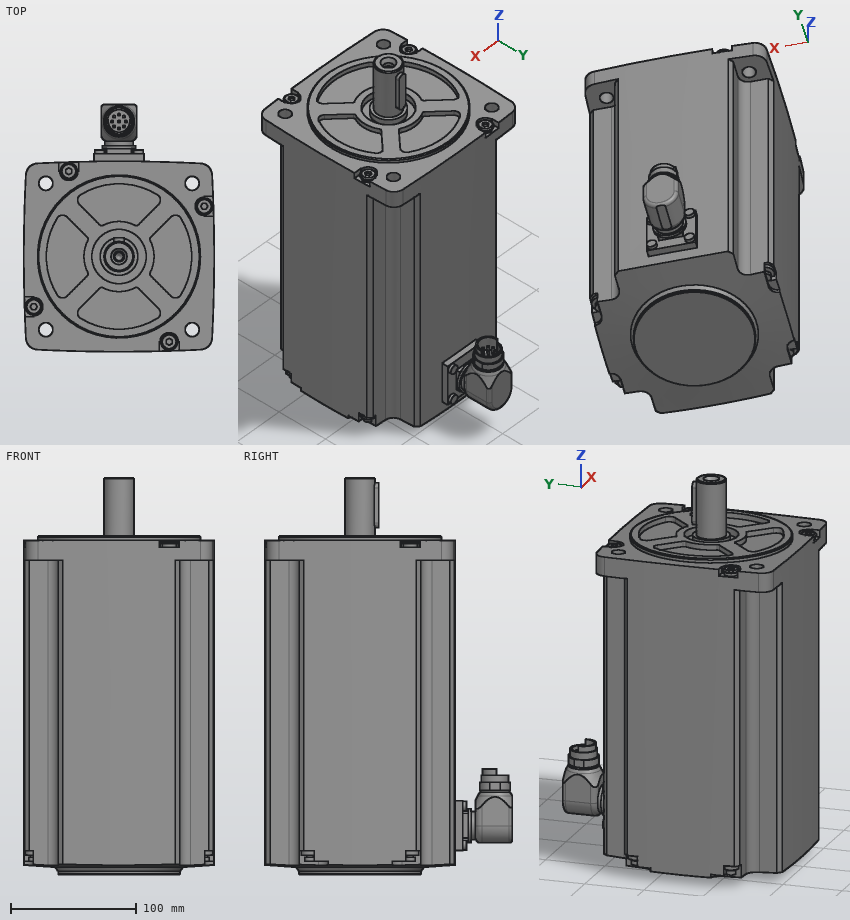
import cadquery as cq
import math

HALF_WIDTH = 76.0
REAR_Z = -266.5
SHAFT_TOP = 50.0

FLANGE_THICKNESS = 16.0
SIDE_RADIUS = 1300.0
CORNER_RADIUS = 10.0
BOLT_CIRCLE = 165.0
BOLT_HOLE_DIA = 11.0
NOTCH_WALL = 48.5
NOTCH_LIP = 71.7
NOTCH_FILLET = 8.5

PILOT_RADIUS = 65.0
PILOT_HEIGHT = 3.5
PILOT_CHAMFER = 1.0
POCKET_OUTER_RADIUS = 58.0
POCKET_INNER_RADIUS = 28.0
RIB_HALF_WIDTH = 7.0
POCKET_DEPTH = 4.5
POCKET_OUTER_FILLET = 5.0
POCKET_INNER_FILLET = 2.0
SEAL_RADIUS = 21.7
SEAL_DEPTH = 6.0

SHAFT_RADIUS = 12.0
SHAFT_CHAMFER = 1.0
SHOULDER_RADIUS = 15.0
SHOULDER_TOP = 3.0
KEY_WIDTH = 8.0
KEY_BOTTOM = 10.0
KEY_LENGTH = 36.0
KEY_CREST = 15.0
CENTRE_MOUTH_DIA = 12.8
CENTRE_MOUTH_HALF_ANGLE = 30.0
CENTRE_BORE_DIA = 8.4
CENTRE_BORE_DEPTH = 7.0
TAP_DIA = 6.65
TAP_DEPTH = 22.0

SCREW_RADIAL = 68.0
SCREW_OFFSET = 40.0
SCREW_POCKET_WIDTH = 16.0
SCREW_POCKET_RADIUS = 7.3
SCREW_POCKET_DEPTH = 5.5
SCREW_HEAD_RADIUS = 6.7
SCREW_HEAD_THICKNESS = 2.0
SCREW_SEAT_RADIUS = 5.5
SCREW_HEAD_GAP = 0.7
SCREW_HEAD_CHAMFER = 1.2
SCREW_HEX_DIA = 5.5
SCREW_HEX_DEPTH = 2.0

REAR_EDGE_Z = -259.0
REAR_SLOPE = 0.07
COVER_NECK_RADIUS = 51.0
COVER_RADIUS = 48.7
COVER_THICKNESS = 2.5
COVER_CHAMFER = 0.5

REAR_POCKET_TOP = -247.6
REAR_POCKET_BOTTOM = -256.0
REAR_POCKET_FLOOR = 68.3
REAR_POCKET_SIDE = 36.4
REAR_SCREW_GAP = 1.5
REAR_SHANK_RADIUS = 4.0
REAR_GROOVE_RADIUS = 2.6
RELIEF_END = 25.5

CONNECTOR_Z = -227.5
BASE_SIZE = 40.0
BASE_Y = 82.0
BASE_ROOT_OVERLAP = 1.0
BASE_SCREW_PITCH = 31.0
BASE_SCREW_DIA = 8.0
BASE_SCREW_HEIGHT = 3.0
BLOCK_SIZE = 20.0
BLOCK_Y = 86.1
COLLAR_RADIUS = 13.5
COLLAR_Y = 88.5
NECK_DIA = 22.9
ELBOW_BACK_Y = 92.0
ELBOW_FRONT_Y = 121.39
ELBOW_RADIUS = 14.3
ELBOW_TOP = -203.6
ELBOW_BOTTOM = -241.3
ELBOW_FRONT_FILLET = 3.0
ELBOW_BACK_FILLET = 5.0
PLUG_Y = 107.6
SHOULDER_CONE_RADIUS = ELBOW_FRONT_Y - PLUG_Y
SHOULDER_CONE_SLOPE = 0.5
RING_LOW_Z = -201.0
RING_RADIUS = 12.3
RING_GROOVE_RADIUS = 11.6
RING_FLAT_OFFSET = 11.6
RING_BOTTOM_Z = -199.5
RING_TOP_Z = -193.1
SLEEVE_DIA = 21.95
SLEEVE_TOP = -187.2
SOCKET_DIA = 19.0
SOCKET_DEPTH = 8.0
TONGUE_TOP = -182.3
TONGUE_WALL = 1.0
TONGUE_FRONT_Y = 109.0
PIN_DIA = 1.99
PIN_CIRCLE_RADIUS = 5.5
PIN_COUNT = 8
PIN_HEIGHT = 6.0


def disc(radius, z_low, z_high, x=0.0, y=0.0):
    return cq.Workplane("XY", origin=(x, y, z_low)).circle(radius).extrude(z_high - z_low)


def block(x_range, y_range, z_range):
    size = [high - low for low, high in (x_range, y_range, z_range)]
    low_corner = (x_range[0], y_range[0], z_range[0])
    return cq.Workplane("XY").box(*size, centered=False).translate(low_corner)


def revolve(points):
    return cq.Workplane("XZ").polyline(points).close().revolve(360, (0, 0), (0, 1))


def bulged_prism(z_low, z_high):
    """Square with slightly bulged sides and rounded corners."""
    prism = block((-HALF_WIDTH, HALF_WIDTH), (-HALF_WIDTH, HALF_WIDTH), (z_low, z_high))
    inset = SIDE_RADIUS - HALF_WIDTH
    for x, y in ((inset, 0), (-inset, 0), (0, inset), (0, -inset)):
        prism = prism.intersect(disc(SIDE_RADIUS, z_low, z_high, x, y))
    return prism.edges("|Z").fillet(CORNER_RADIUS)


def corner_notch(z_low, z_high):
    """Cutter for the open corner in +X +Y, flared at both mouths."""
    reach = HALF_WIDTH + CORNER_RADIUS
    flare = NOTCH_WALL + NOTCH_LIP - reach
    outline = [
        (NOTCH_WALL, NOTCH_WALL),
        (NOTCH_WALL, NOTCH_LIP),
        (flare, reach),
        (reach, reach),
        (reach, flare),
        (NOTCH_LIP, NOTCH_WALL),
    ]
    cutter = cq.Workplane("XY", origin=(0, 0, z_low)).polyline(outline).close().extrude(z_high - z_low)
    inner_edge = cq.selectors.NearestToPointSelector((NOTCH_WALL, NOTCH_WALL, (z_low + z_high) / 2))
    return cutter.edges("|Z").edges(inner_edge).fillet(NOTCH_FILLET)


def cone_z(radius):
    return REAR_EDGE_Z - (HALF_WIDTH - radius) * REAR_SLOPE


def make_housing():
    housing = bulged_prism(REAR_Z, 0)
    notch = corner_notch(REAR_Z, -FLANGE_THICKNESS)
    for quarter in range(4):
        housing = housing.cut(notch.rotate((0, 0, 0), (0, 0, 1), 90 * quarter))

    outside = 2 * HALF_WIDTH
    envelope = revolve([(0, 0), (outside, 0), (outside, cone_z(outside)), (0, cone_z(0))])
    housing = housing.intersect(envelope)

    bolt_offset = BOLT_CIRCLE / 2 * math.sqrt(0.5)
    bolt_holes = (
        cq.Workplane("XY")
        .rect(2 * bolt_offset, 2 * bolt_offset, forConstruction=True)
        .vertices()
        .circle(BOLT_HOLE_DIA / 2)
        .extrude(-FLANGE_THICKNESS)
    )
    return housing.cut(bolt_holes)


def make_rear_cover():
    step_z = REAR_Z + COVER_THICKNESS
    return revolve([
        (0, cone_z(COVER_NECK_RADIUS)),
        (COVER_NECK_RADIUS, cone_z(COVER_NECK_RADIUS)),
        (COVER_RADIUS, step_z),
        (COVER_RADIUS, REAR_Z + COVER_CHAMFER),
        (COVER_RADIUS - COVER_CHAMFER, REAR_Z),
        (0, REAR_Z),
    ])


def front_pocket():
    """One of the four sector pockets, on the +X side between diagonal ribs."""
    floor = PILOT_HEIGHT - POCKET_DEPTH
    apex = RIB_HALF_WIDTH * math.sqrt(2)
    reach = PILOT_RADIUS
    wedge = (
        cq.Workplane("XY", origin=(0, 0, floor))
        .polyline([(apex, 0), (apex + reach, reach), (apex + reach, -reach)])
        .close()
        .extrude(POCKET_DEPTH)
    )
    ring = disc(POCKET_OUTER_RADIUS, floor, PILOT_HEIGHT).cut(
        disc(POCKET_INNER_RADIUS, floor, PILOT_HEIGHT)
    )
    pocket = wedge.intersect(ring)
    middle = (POCKET_INNER_RADIUS + POCKET_OUTER_RADIUS) / 2 * math.sqrt(0.5)
    outer = cq.selectors.BoxSelector((middle, -reach, REAR_Z), (reach, reach, SHAFT_TOP))
    inner = cq.selectors.BoxSelector((0, -reach, REAR_Z), (middle, reach, SHAFT_TOP))
    pocket = pocket.edges("|Z").edges(outer).fillet(POCKET_OUTER_FILLET)
    return pocket.edges("|Z").edges(inner).fillet(POCKET_INNER_FILLET)


def add_pilot(body):
    pilot = disc(PILOT_RADIUS, 0, PILOT_HEIGHT).faces(">Z").chamfer(PILOT_CHAMFER)
    body = body.union(pilot)
    pocket = front_pocket()
    for quarter in range(4):
        body = body.cut(pocket.rotate((0, 0, 0), (0, 0, 1), 90 * quarter))
    return body.cut(disc(SEAL_RADIUS, PILOT_HEIGHT - SEAL_DEPTH, PILOT_HEIGHT))


def make_shaft():
    root = PILOT_HEIGHT - SEAL_DEPTH
    shaft = disc(SHAFT_RADIUS, root, SHAFT_TOP).faces(">Z").chamfer(SHAFT_CHAMFER)
    shaft = shaft.union(disc(SHOULDER_RADIUS, root, SHOULDER_TOP))

    key = (
        cq.Workplane("XZ", origin=(0, 0, KEY_BOTTOM + KEY_LENGTH / 2))
        .slot2D(KEY_LENGTH, KEY_WIDTH, 90)
        .extrude(-KEY_CREST)
    )
    shaft = shaft.union(key)

    mouth = CENTRE_MOUTH_DIA / 2
    bore = CENTRE_BORE_DIA / 2
    tap = TAP_DIA / 2
    mouth_depth = (mouth - bore) / math.tan(math.radians(CENTRE_MOUTH_HALF_ANGLE))
    centre_hole = revolve([
        (0, SHAFT_TOP),
        (mouth, SHAFT_TOP),
        (bore, SHAFT_TOP - mouth_depth),
        (bore, SHAFT_TOP - CENTRE_BORE_DEPTH),
        (tap, SHAFT_TOP - CENTRE_BORE_DEPTH),
        (tap, SHAFT_TOP - TAP_DEPTH),
        (0, SHAFT_TOP - TAP_DEPTH - tap),
    ])
    return shaft.cut(centre_hole)


def add_flange_screws(body):
    """Four socket screws in open-sided pockets, one per side."""
    floor = -SCREW_POCKET_DEPTH
    head_bottom = -SCREW_HEAD_GAP - SCREW_HEAD_THICKNESS
    half = SCREW_POCKET_WIDTH / 2
    pocket = disc(SCREW_POCKET_RADIUS, floor, 0, SCREW_RADIAL, SCREW_OFFSET).union(
        block(
            (SCREW_RADIAL, HALF_WIDTH),
            (SCREW_OFFSET - half, SCREW_OFFSET + half),
            (floor, 0),
        )
    )
    head = disc(SCREW_HEAD_RADIUS, head_bottom, -SCREW_HEAD_GAP, SCREW_RADIAL, SCREW_OFFSET)
    head = head.faces(">Z").chamfer(SCREW_HEAD_CHAMFER)
    head = head.union(disc(SCREW_SEAT_RADIUS, floor, head_bottom, SCREW_RADIAL, SCREW_OFFSET))
    head = head.faces(">Z").workplane().polygon(6, SCREW_HEX_DIA).cutBlind(-SCREW_HEX_DEPTH)
    for quarter in range(4):
        angle = 90 * quarter
        body = body.cut(pocket.rotate((0, 0, 0), (0, 0, 1), angle))
        body = body.union(head.rotate((0, 0, 0), (0, 0, 1), angle))
    return body


def mirrored(shape, at_minus_x, at_minus_y):
    if at_minus_x:
        shape = shape.mirror("YZ")
    if at_minus_y:
        shape = shape.mirror("XZ")
    return shape


def add_rear_screws(body):
    """Screws in pockets at the rear of both X faces, above round-ended reliefs in the rear edge."""
    pocket = block(
        (REAR_POCKET_FLOOR, HALF_WIDTH),
        (REAR_POCKET_SIDE, NOTCH_WALL),
        (REAR_POCKET_BOTTOM, REAR_POCKET_TOP),
    )
    relief_radius = HALF_WIDTH - REAR_POCKET_FLOOR
    middle = (REAR_POCKET_BOTTOM + REAR_POCKET_TOP) / 2
    half_gap = REAR_SCREW_GAP / 2
    screw = revolve([
        (0, REAR_POCKET_TOP),
        (SCREW_HEAD_RADIUS, REAR_POCKET_TOP),
        (SCREW_HEAD_RADIUS, middle + half_gap),
        (REAR_GROOVE_RADIUS, middle + half_gap),
        (REAR_GROOVE_RADIUS, middle - half_gap),
        (REAR_SHANK_RADIUS, middle - half_gap),
        (REAR_SHANK_RADIUS, REAR_POCKET_BOTTOM),
        (0, REAR_POCKET_BOTTOM),
    ]).translate((SCREW_RADIAL, SCREW_OFFSET, 0))
    screw = screw.intersect(pocket)

    relief = block(
        (REAR_POCKET_FLOOR, HALF_WIDTH + relief_radius),
        (RELIEF_END, NOTCH_WALL),
        (REAR_Z, REAR_POCKET_BOTTOM),
    )
    relief = relief.edges("|Z").edges("<X and <Y").fillet(relief_radius)
    pocket = pocket.union(relief)
    for at_minus_x in (False, True):
        for at_minus_y in (False, True):
            body = body.cut(mirrored(pocket, at_minus_x, at_minus_y))
            body = body.union(mirrored(screw, at_minus_x, at_minus_y))
    return body


def along_y(y):
    """Workplane facing +Y, centred on the connector inlet."""
    return cq.Workplane("XZ", origin=(0, y, CONNECTOR_Z))


def make_connector_base():
    root_y = HALF_WIDTH - BASE_ROOT_OVERLAP
    base = along_y(root_y).rect(BASE_SIZE, BASE_SIZE).extrude(root_y - BASE_Y)
    screws = (
        along_y(BASE_Y)
        .rect(BASE_SCREW_PITCH, BASE_SCREW_PITCH, forConstruction=True)
        .vertices()
        .circle(BASE_SCREW_DIA / 2)
        .extrude(-BASE_SCREW_HEIGHT)
    )
    riser = along_y(BASE_Y).rect(BLOCK_SIZE, BLOCK_SIZE).extrude(BASE_Y - BLOCK_Y)
    collar = along_y(BLOCK_Y).circle(COLLAR_RADIUS).extrude(BLOCK_Y - COLLAR_Y)
    neck = along_y(COLLAR_Y).circle(NECK_DIA / 2).extrude(COLLAR_Y - ELBOW_BACK_Y)
    return base.union(screws).union(riser).union(collar).union(neck)


def make_elbow():
    """Elbow housing: rounded underside, square sides, conical shoulder on top."""
    depth = ELBOW_FRONT_Y - ELBOW_BACK_Y
    height = ELBOW_TOP - CONNECTOR_Z
    elbow = (
        along_y(ELBOW_BACK_Y)
        .moveTo(-ELBOW_RADIUS, height)
        .lineTo(-ELBOW_RADIUS, 0)
        .threePointArc((0, -ELBOW_RADIUS), (ELBOW_RADIUS, 0))
        .lineTo(ELBOW_RADIUS, height)
        .close()
        .extrude(-depth)
    )
    elbow = elbow.faces(">Y").edges("not >Z").fillet(ELBOW_FRONT_FILLET)
    elbow = elbow.faces("<Y").edges("not >Z").fillet(ELBOW_BACK_FILLET)
    wide = SHOULDER_CONE_RADIUS + SHOULDER_CONE_SLOPE * (ELBOW_TOP - ELBOW_BOTTOM)
    envelope = revolve([
        (0, ELBOW_TOP),
        (SHOULDER_CONE_RADIUS, ELBOW_TOP),
        (wide, ELBOW_BOTTOM),
        (0, ELBOW_BOTTOM),
    ])
    return elbow.intersect(envelope.translate((0, PLUG_Y, 0)))


def make_plug():
    sleeve = SLEEVE_DIA / 2
    socket = SOCKET_DIA / 2
    floor = SLEEVE_TOP - SOCKET_DEPTH
    plug = revolve([
        (0, ELBOW_TOP),
        (SHOULDER_CONE_RADIUS, ELBOW_TOP),
        (RING_RADIUS, RING_LOW_Z),
        (RING_GROOVE_RADIUS, RING_LOW_Z),
        (RING_GROOVE_RADIUS, RING_BOTTOM_Z),
        (RING_RADIUS, RING_BOTTOM_Z),
        (RING_RADIUS, RING_TOP_Z),
        (sleeve, RING_TOP_Z),
        (sleeve, SLEEVE_TOP),
        (socket, SLEEVE_TOP),
        (socket, floor),
        (0, floor),
    ]).translate((0, PLUG_Y, 0))

    for side in (-1, 1):
        flat_centre = side * (RING_FLAT_OFFSET + RING_RADIUS / 2)
        flat = cq.Workplane("XY", origin=(flat_centre, PLUG_Y, RING_BOTTOM_Z))
        plug = plug.cut(flat.rect(RING_RADIUS, 2 * RING_RADIUS).extrude(RING_TOP_Z - RING_BOTTOM_Z))

    tongue_radius = sleeve - TONGUE_WALL
    tongue = disc(tongue_radius, floor, TONGUE_TOP, 0, PLUG_Y)
    tongue = tongue.cut(disc(socket - TONGUE_WALL, floor, TONGUE_TOP, 0, PLUG_Y))
    tongue = tongue.intersect(
        block(
            (-tongue_radius, tongue_radius),
            (PLUG_Y - tongue_radius, TONGUE_FRONT_Y),
            (floor, TONGUE_TOP),
        )
    )
    pins = (
        cq.Workplane("XY", origin=(0, PLUG_Y, floor))
        .polarArray(PIN_CIRCLE_RADIUS, 0, 360, PIN_COUNT)
        .circle(PIN_DIA / 2)
        .extrude(PIN_HEIGHT)
        .union(disc(PIN_DIA / 2, floor, floor + PIN_HEIGHT, 0, PLUG_Y))
    )
    return plug.union(tongue).union(pins)


motor = make_housing().union(make_rear_cover())
motor = add_pilot(motor)
motor = motor.union(make_shaft())
motor = add_flange_screws(motor)
motor = add_rear_screws(motor)
connector = make_connector_base().union(make_elbow()).union(make_plug())
result = motor.union(connector)